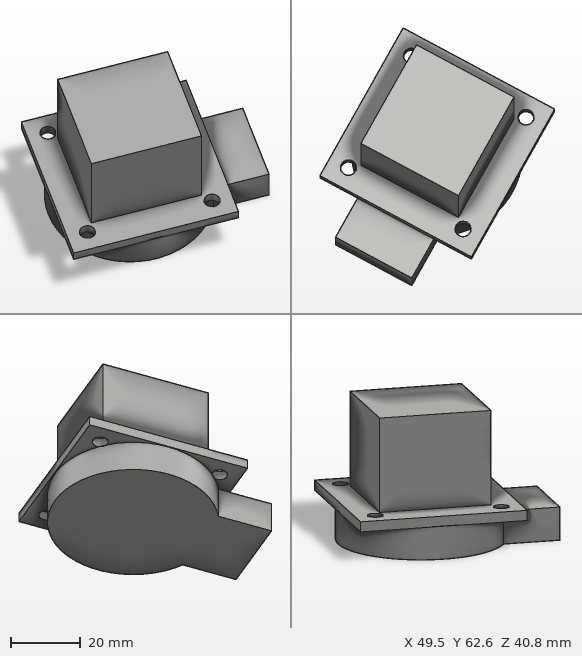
import cadquery as cq

plate_side = 49.5
plate_thickness = 3.0

body_diameter = 49.1
body_height = 9.8

total_height = 40.75
block_width = 31.85
block_depth = 33.05
block_offset_y = -0.1

total_depth = 62.6
arm_width = 24.9

hole_diameter = 4.5
hole_spacing = 37.45

plate_top = body_height + plate_thickness
block_height = total_height - plate_top
arm_length = total_depth - plate_side / 2

body = cq.Workplane("XY").circle(body_diameter / 2).extrude(body_height)

arm = (
    cq.Workplane("XY")
    .box(arm_width, arm_length, body_height, centered=(True, False, False))
)

plate = (
    cq.Workplane("XY")
    .workplane(offset=body_height)
    .rect(plate_side, plate_side)
    .extrude(plate_thickness)
)

block = (
    cq.Workplane("XY")
    .workplane(offset=plate_top)
    .center(0, block_offset_y)
    .rect(block_width, block_depth)
    .extrude(block_height)
)

holes = (
    cq.Workplane("XY")
    .workplane(offset=body_height)
    .rect(hole_spacing, hole_spacing, forConstruction=True)
    .vertices()
    .circle(hole_diameter / 2)
    .extrude(plate_thickness)
)

result = plate.cut(holes).union(block).union(body.union(arm))